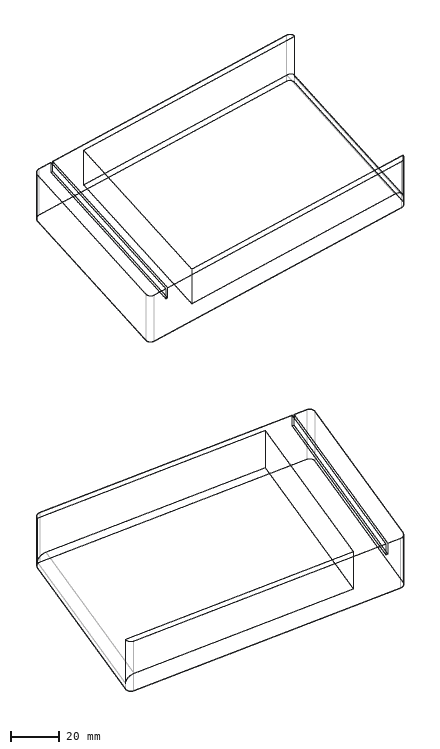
import cadquery as cq

width = 83.0
length = 130.0
height = 30.0
corner_radius = 2.5

wall = 2.5
front_block = 23.3
floor_thickness = 7.5
floor_edge_radius = 4.0

slot_start = 8.5
slot_width = 0.9
slot_depth = 6.5


def make_body():
    """Block with its four upright corners rounded; the -Y face lies at Y = 0."""
    body = cq.Workplane("XY").box(width, length, height, centered=(True, False, False))
    return body.edges("|Z").fillet(corner_radius)


def make_pocket():
    """Space between the side walls, running over the rounded +Y edge of the floor."""
    round_start_y = length - floor_edge_radius
    round_end_z = floor_thickness - floor_edge_radius
    profile = (
        cq.Workplane("YZ")
        .moveTo(front_block, height)
        .lineTo(front_block, floor_thickness)
        .lineTo(round_start_y, floor_thickness)
        .radiusArc((length, round_end_z), floor_edge_radius)
        .lineTo(length, height)
        .close()
    )
    return profile.extrude(width / 2 - wall, both=True)


def make_slot():
    """Straight slot through the full width."""
    return (
        cq.Workplane("XY")
        .box(width, slot_width, slot_depth, centered=(True, False, False))
        .translate((0, slot_start, height - slot_depth))
    )


result = make_body().cut(make_pocket()).cut(make_slot())